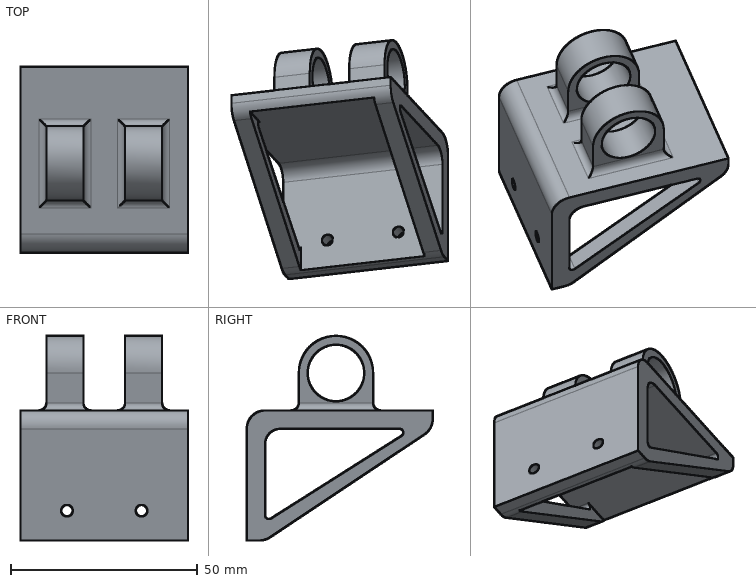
import cadquery as cq

width = 45.0
depth = 50.0
body_height = 35.0
wall = 5.0
outer_radius = wall
strut_thickness = wall
window_depth_end = 44.45
window_bend_radius = 4.0
window_tip_radius = 1.0

total_height = 55
lug_radius = 10.0
lug_thickness = 10.0
lug_spacing = 21.1
lug_y = 24.0
eye_diameter = 15.1
eye_z = total_height - lug_radius
lug_foot_radius = 2.0

screw_diameter = 3.0
screw_spacing = 20.0
screw_z = 8.05

mid_x = width / 2
overlap = wall / 2


def pair(spacing):
    """X positions of two features placed evenly about the middle."""
    return [mid_x - spacing / 2, mid_x + spacing / 2]


def make_body():
    outline = [
        (0, 0),
        (0, body_height),
        (depth, body_height),
        (depth, body_height - wall),
        (wall, 0),
    ]
    body = cq.Workplane("YZ").polyline(outline).close().extrude(width)
    for y, z in (outline[1], outline[3], outline[4]):
        edge = cq.selectors.NearestToPointSelector((mid_x, y, z))
        body = body.edges("|X").edges(edge).fillet(outer_radius)
    return body


def make_window():
    bend = (wall, body_height - wall)
    rear_tip = (window_depth_end, body_height - wall)
    lower_tip = (wall, wall)
    window = cq.Workplane("YZ").polyline([bend, rear_tip, lower_tip]).close().extrude(width)
    corners = ((bend, window_bend_radius), (rear_tip, window_tip_radius), (lower_tip, window_tip_radius))
    for (y, z), radius in corners:
        edge = cq.selectors.NearestToPointSelector((mid_x, y, z))
        window = window.edges("|X").edges(edge).fillet(radius)
    return window


def make_strut_gap():
    """Space behind the front wall and below the top plate, between the two struts."""
    bend = cq.selectors.NearestToPointSelector((mid_x, wall, body_height - wall))
    return (
        cq.Workplane("YZ", origin=(strut_thickness, 0, 0))
        .moveTo(wall, 0)
        .rect(depth - wall, body_height - wall, centered=False)
        .extrude(width - 2 * strut_thickness)
        .edges("|X")
        .edges(bend)
        .fillet(window_bend_radius)
    )


def make_lug(x):
    foot_z = body_height - overlap
    return (
        cq.Workplane("YZ", origin=(x - lug_thickness / 2, 0, 0))
        .moveTo(lug_y - lug_radius, foot_z)
        .lineTo(lug_y - lug_radius, eye_z)
        .threePointArc((lug_y, total_height), (lug_y + lug_radius, eye_z))
        .lineTo(lug_y + lug_radius, foot_z)
        .close()
        .extrude(lug_thickness)
    )


def fillet_lug_foot(part, x):
    """Round the rectangular joint between a lug and the top plate."""
    margin = 0.55
    half_x = lug_thickness / 2 + margin
    half_y = lug_radius + margin
    joint = cq.selectors.BoxSelector(
        (x - half_x, lug_y - half_y, body_height - margin),
        (x + half_x, lug_y + half_y, body_height + margin),
    )
    return part.edges(joint).fillet(lug_foot_radius)


result = make_body().cut(make_window()).cut(make_strut_gap())

for lug_x in pair(lug_spacing):
    result = result.union(make_lug(lug_x))
    result = fillet_lug_foot(result, lug_x)

eye_bore = cq.Workplane("YZ").center(lug_y, eye_z).circle(eye_diameter / 2).extrude(width)
result = result.cut(eye_bore)

screw_points = [(x, screw_z) for x in pair(screw_spacing)]
screw_holes = cq.Workplane("XZ").pushPoints(screw_points).circle(screw_diameter / 2).extrude(-wall)
result = result.cut(screw_holes)